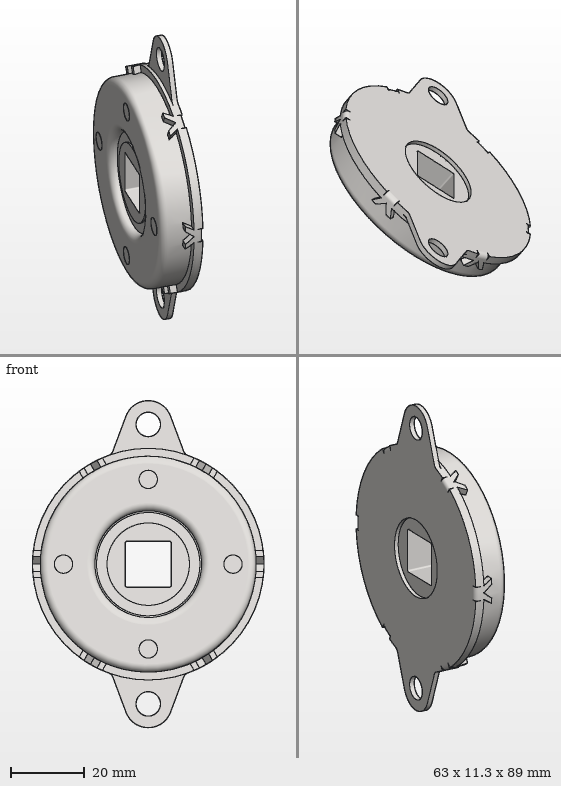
import cadquery as cq
import math


rim_radius = 31.5
plate_thickness = 1.5
ear_count = 2
ear_tip = 44.5
ear_radius = 6.5
ear_center = ear_tip - ear_radius
ear_hole_radius = 3.3
ear_side_angle = 20.5
ear_root_radius = 1.8

total_depth = 11.3
case_radius = 29.4
case_edge_radius = 2.05
flange_thickness = 1.1
flange_front = plate_thickness + flange_thickness
spot_count = 4
spot_radius = 2.5
spot_circle_radius = 23.05
spot_depth = 0.1

tab_count = 6
tab_half_width = 2.05
tab_tip_half_width = 3.65
tab_tip_depth = 5.1
tab_bend_radius = 1.4

rotor_radius = 14.1
rotor_gap = 0.45
rotor_disc_front = total_depth - 2.2
boss_radius = 11.2
boss_back = 1.2
boss_front = total_depth - 1.7
opening_radius = rotor_radius + rotor_gap
opening_edge_radius = 2.05
square_side = 12.5
square_corner_radius = 0.45


def disc(radius, back, front):
    """Cylinder on the brake axis between two depths."""
    return cq.Workplane("XZ", origin=(0, -back, 0)).circle(radius).extrude(front - back)


def around_axis(shape, count):
    """Copies of a shape spaced equally around the brake axis."""
    return [shape.rotate((0, 0, 0), (0, 1, 0), 360 / count * i) for i in range(count)]


def make_ear():
    """Upper ear: a round end whose straight sides widen down into the plate."""
    angle = math.radians(ear_side_angle)
    tangent_x = ear_radius * math.cos(angle)
    tangent_z = ear_center + ear_radius * math.sin(angle)
    base_z = rim_radius - ear_radius
    base_x = tangent_x + (tangent_z - base_z) * math.tan(angle)
    return (
        cq.Workplane("XZ")
        .moveTo(-base_x, base_z)
        .lineTo(-tangent_x, tangent_z)
        .threePointArc((0, ear_tip), (tangent_x, tangent_z))
        .lineTo(base_x, base_z)
        .close()
        .extrude(plate_thickness)
    )


def make_plate():
    """Round plate with two opposite ears, and an opening for the rotor boss."""
    plate = disc(rim_radius, 0, plate_thickness)
    for ear in around_axis(make_ear(), ear_count):
        plate = plate.union(ear)

    root_zone = cq.selectors.BoxSelector(
        (-rim_radius, -plate_thickness, -ear_center), (rim_radius, 0, ear_center)
    )
    plate = plate.edges("|Y").edges(root_zone).fillet(ear_root_radius)

    ear_holes = (
        cq.Workplane("XZ")
        .pushPoints([(0, ear_center), (0, -ear_center)])
        .circle(ear_hole_radius)
        .extrude(plate_thickness)
    )
    return plate.cut(ear_holes).cut(disc(boss_radius, 0, plate_thickness))


def make_case():
    """Case with a rounded outer edge, a rounded opening and shallow round spots on its front."""
    case = disc(case_radius, plate_thickness, total_depth)
    case = case.faces("<Y").edges().fillet(case_edge_radius)
    case = case.cut(disc(opening_radius, plate_thickness, total_depth))
    opening_edge = cq.selectors.RadiusNthSelector(0)
    case = case.faces("<Y").edges(opening_edge).fillet(opening_edge_radius)

    spots = (
        cq.Workplane("XZ", origin=(0, spot_depth - total_depth, 0))
        .polarArray(spot_circle_radius, 0, 360, spot_count)
        .circle(spot_radius)
        .extrude(spot_depth)
    )
    return case.cut(spots)


def make_flange():
    """Thin ring around the foot of the case, as wide as the plate."""
    return disc(rim_radius, plate_thickness, flange_front).cut(
        disc(case_radius, plate_thickness, flange_front)
    )


def make_tab_notch():
    """Cutter on +X that clears the plate and flange rims over the width of a tab."""
    return cq.Workplane("XY").box(
        rim_radius, 2 * flange_front, 2 * tab_half_width
    ).translate((case_radius + rim_radius / 2, 0, 0))


def make_tab():
    """Forked tab on +X between the case wall and the rim, rounded where it bends off the plate."""
    half_outline = [
        (0, tab_half_width),
        (-flange_front, tab_half_width),
        (-tab_tip_depth, tab_tip_half_width),
        (-tab_tip_depth, tab_half_width),
    ]
    fork_root = (-flange_front, 0)
    mirrored_half = [(y, -z) for y, z in reversed(half_outline)]
    fork = (
        cq.Workplane("YZ")
        .polyline(half_outline + [fork_root] + mirrored_half)
        .close()
        .extrude(rim_radius)
    )
    bent_ring = disc(rim_radius, 0, tab_tip_depth).faces(">Y").edges().fillet(tab_bend_radius)
    bent_ring = bent_ring.cut(disc(case_radius, 0, tab_tip_depth))
    return fork.intersect(bent_ring)


def make_housing():
    """Plate, flange, case and tabs as one solid; the seams between them stay as edges."""
    plate = make_plate()
    flange = make_flange()
    for notch in around_axis(make_tab_notch(), tab_count):
        plate = plate.cut(notch)
        flange = flange.cut(notch)
    housing = plate.union(make_case(), clean=False).union(flange, clean=False)
    for tab in around_axis(make_tab(), tab_count):
        housing = housing.union(tab, clean=False)
    return housing


def make_rotor():
    """Disc behind the case opening, on a boss that fills the plate opening, with a square bore."""
    rotor = disc(rotor_radius, plate_thickness, rotor_disc_front)
    rotor = rotor.union(disc(boss_radius, boss_back, boss_front))
    bore = cq.Workplane("XZ").rect(square_side, square_side).extrude(total_depth)
    return rotor.cut(bore.edges("|Y").fillet(square_corner_radius))


housing = make_housing()
rotor = make_rotor()

result = cq.Compound.makeCompound([housing.solids().val(), rotor.solids().val()])